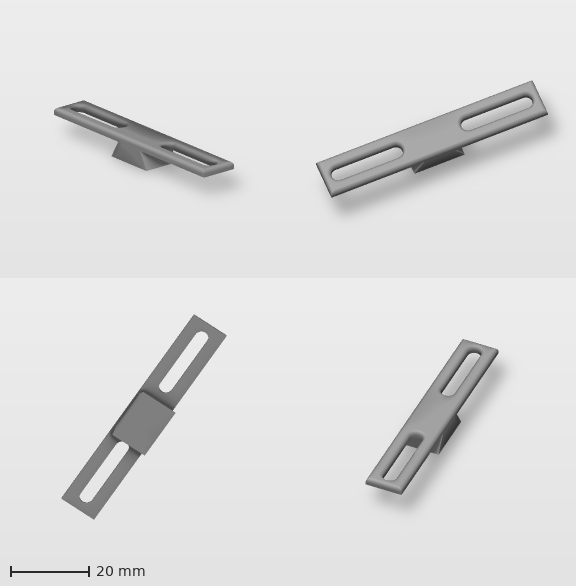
import cadquery as cq
import math

length = 60.0
width = 10.0
plate_thickness = 2.0
edge_radius = 1.0

total_height = 6.7
dovetail_base = 14.05
dovetail_angle = 60.0
dovetail_height = total_height - plate_thickness
dovetail_neck = dovetail_base - 2 * dovetail_height / math.tan(math.radians(dovetail_angle))

slot_width = 3.6
slot_straight = 16.0
slot_length = slot_straight + slot_width
slot_offset = 18.0


def make_plate():
    """Flat plate with its underside at Z = 0 and rounded top edges."""
    plate = cq.Workplane("XY").box(length, width, plate_thickness, centered=(True, True, False))
    return plate.faces(">Z").edges().fillet(edge_radius)


def cut_slots(plate):
    """Two through slots, rounded over at the top."""
    slot_centres = [(-slot_offset, 0), (slot_offset, 0)]
    slots = (
        cq.Workplane("XY")
        .pushPoints(slot_centres)
        .slot2D(slot_length, slot_width)
        .extrude(plate_thickness)
    )
    slotted = plate.cut(slots)
    rim = cq.selectors.BoxSelector(
        (-length / 2 + edge_radius, -slot_width, plate_thickness - edge_radius / 2),
        (length / 2 - edge_radius, slot_width, plate_thickness + edge_radius / 2),
    )
    return slotted.edges(rim).fillet(edge_radius)


def make_dovetail():
    """Rail that widens downward and spans the full plate width."""
    return (
        cq.Workplane("XZ")
        .polyline([
            (-dovetail_neck / 2, 0),
            (dovetail_neck / 2, 0),
            (dovetail_base / 2, -dovetail_height),
            (-dovetail_base / 2, -dovetail_height),
        ])
        .close()
        .extrude(width / 2, both=True)
    )


result = cut_slots(make_plate()).union(make_dovetail())